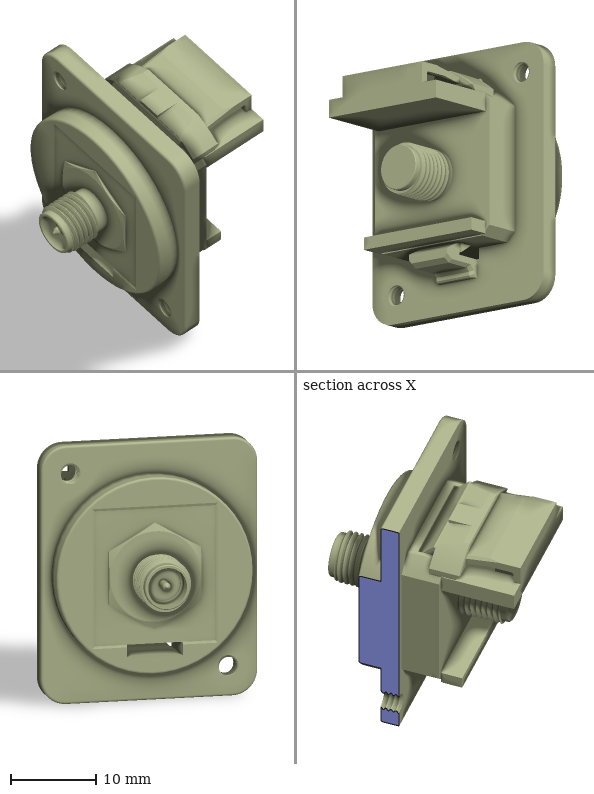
import cadquery as cq
import math


PLATE_WIDTH = 26.0
PLATE_HEIGHT = 31.0
PLATE_THICKNESS = 2.36
PLATE_CORNER_RADIUS = 3.0
FRONT_EDGE_BREAK = 0.3
DISC_RADIUS = 11.8
DISC_THICKNESS = 2.75
DISC_FRONT = -(PLATE_THICKNESS + DISC_THICKNESS)

SCREW_SPACING_X = 19.0
SCREW_SPACING_Z = 24.0
SCREW_MINOR_DIAMETER = 2.26
SCREW_MAJOR_DIAMETER = 2.845
INCH = 25.4
SCREW_THREADS_PER_INCH = 40
SCREW_PITCH = INCH / SCREW_THREADS_PER_INCH
SCREW_THREAD_GAP = 0.05
SCREW_START_ANGLE = 215

HOUSING_HALF_WIDTH = 8.67
HOUSING_DEPTH = 4.7
HOUSING_TOP = 9.82
HOUSING_BOTTOM = -8.23
HOUSING_BOTTOM_CHAMFER = 1.13

SEAT_WIDTH = 15.1
SEAT_HEIGHT = 16.8
SEAT_BEVEL_WIDTH = 0.3
SEAT_DEPTH = 0.12
SEAT_FLOOR = DISC_FRONT + SEAT_DEPTH

HEX_ACROSS_FLATS = 11.1
HEX_CHAMFER_DIAMETER = 10.85
HEX_CHAMFER_DEPTH = 0.38
HEX_FRONT = DISC_FRONT - 0.28

BARREL_DIAMETER = 5.4
BARREL_FRONT = -11.45
BARREL_BACK = 10.95
BARREL_EDGE_CHAMFER = 0.1
THREAD_DIAMETER = 6.25
BARREL_THREADS_PER_INCH = 36
THREAD_PITCH = INCH / BARREL_THREADS_PER_INCH
THREAD_CREST = 0.06
THREAD_BASE = THREAD_PITCH - 0.03
FRONT_THREAD = (-10.65, -6.9)
FRONT_THREAD_START_ANGLE = 155
REAR_THREAD = (HOUSING_DEPTH - 1.0, 10.1)
REAR_THREAD_START_ANGLE = -25
THREAD_ROOT_OVERLAP = 0.08

SOCKET_DIAMETER = 4.65
SOCKET_DEPTH = 1.95
SOCKET_STEP_DIAMETER = 4.1
SOCKET_STEP_DEPTH = 0.2
PIN_RELIEF_DIAMETER = 1.27
PIN_RELIEF_DEPTH = 0.2
PIN_DIAMETER = 0.9
PIN_TIP_LENGTH = 0.5
PIN_TIP_DIAMETER = 0.1
SOCKET_FLOOR = BARREL_FRONT + SOCKET_DEPTH + SOCKET_STEP_DEPTH

RAIL_HALF_WIDTH = 8.15
RAIL_ROOT_INSET = 0.06
RAIL_ROOT_LENGTH = 0.2
UPPER_RAIL_BACK = 13.85
UPPER_RAIL_BOTTOM = 6.62
UPPER_RAIL_TOP = 8.76
LOWER_RAIL_BACK = 7.38
LOWER_RAIL_BOTTOM = -8.1
LOWER_RAIL_TOP = -6.6

ARM_HALF_WIDTH = 6.03
ARM_TOP = 11.3
ARM_UNDERSIDE = 10.27
ARM_POST_FRONT = 13.0
ARM_INNER_RADIUS = 0.4
ARM_TOP_BEND = 9.9
ARM_UNDERSIDE_BEND = 9.75
ARM_SLOPE_DROP = 0.5
ARM_SIDE_BREAK_X = 0.38
ARM_SIDE_BREAK_Z = 0.23
ARM_SIDE_BREAK_START = 11.2
STOP_HALF_WIDTH = 5.0
STOP_FRONT = 10.3

TAB_FRONT = 3.2
TAB_BACK = 7.05
TAB_HALF_WIDTH = 8.05
TAB_BOTTOM = 9.5
TAB_TOP = 11.63
TAB_END_RADIUS = 12.48
TAB_RIB_HALF_WIDTH = 1.53
TAB_RAMP_BACK = 6.15
TAB_RAMP_DROP = 0.45
TAB_NECK_BACK = 6.5
TAB_NECK_BOTTOM = 8.6
TAB_BACK_CHAMFER_LENGTH = 0.25
TAB_BACK_CHAMFER_DEPTH = 0.1

ARM_SLOPE_END = TAB_BACK - TAB_BACK_CHAMFER_LENGTH

UPPER_CATCH_FRONT = 1.06
UPPER_CATCH_TIP = 3.0
UPPER_CATCH_TOP = 11.12
UPPER_CATCH_FOOT = UPPER_CATCH_TOP - (UPPER_CATCH_TIP - UPPER_CATCH_FRONT)

WINDOW_HALF_WIDTH = 3.2
WINDOW_FRONT_HALF_WIDTH = 3.35
WINDOW_FRONT_BOTTOM = -9.7
LATCH_HALF_WIDTH = 2.9
LATCH_ARM_TOP = -9.58
LATCH_ARM_BOTTOM = -10.75
LATCH_FOOT_BOTTOM = -11.8
LATCH_FOOT_BACK = 0.95
LATCH_BEND = 0.4
LATCH_HOOK_FRONT = 3.18
LATCH_HOOK_TIP_BACK = 3.65
LATCH_HOOK_BACK = 5.5
LATCH_HOOK_BACK_TOP = -9.15
LATCH_HOOK_BACK_BOTTOM = -10.25
LATCH_ARM_BACK = 4.7
LATCH_FOOT_CHAMFER = 0.2
LATCH_EDGE_CHAMFER = 0.4
LOWER_CATCH_FRONT = 1.5
LOWER_CATCH_TIP = -9.29


def along_y(diameter, y_front, y_back):
    """Cylinder on the coupler axis between two Y positions."""
    disc = cq.Workplane("XZ", origin=(0, y_back, 0)).circle(diameter / 2)
    return disc.extrude(y_back - y_front)


def block(x_range, y_range, z_range):
    """Box given by its limits along X, Y and Z."""
    limits = (x_range, y_range, z_range)
    sizes = [high - low for low, high in limits]
    low_corner = tuple(low for low, high in limits)
    return cq.Workplane("XY").box(*sizes, centered=False).translate(low_corner)


def side_profile(points, half_width):
    """Prism across X, centred on X = 0, from an outline of (Y, Z) points."""
    return cq.Workplane("YZ").polyline(points).close().extrude(half_width, both=True)


def helical_ridge(root_radius, crest_radius, pitch, base, y_range, start_angle=0):
    """Right-hand helical ridge around the Y axis with a trapezoidal section."""
    y_front, y_back = y_range
    path = cq.Wire.makeHelix(pitch, y_back - y_front, root_radius)
    section = (
        cq.Workplane("XZ")
        .moveTo(root_radius, -base / 2)
        .lineTo(crest_radius, -THREAD_CREST / 2)
        .lineTo(crest_radius, THREAD_CREST / 2)
        .lineTo(root_radius, base / 2)
        .close()
    )
    ridge = section.sweep(cq.Workplane(path), isFrenet=True)
    ridge = ridge.rotate((0, 0, 0), (0, 0, 1), start_angle)
    return ridge.rotate((0, 0, 0), (1, 0, 0), 90).translate((0, y_back, 0))


def make_plate():
    plate = (
        cq.Workplane("XZ")
        .rect(PLATE_WIDTH, PLATE_HEIGHT)
        .extrude(PLATE_THICKNESS)
        .edges("|Y")
        .fillet(PLATE_CORNER_RADIUS)
        .faces("<Y")
        .edges()
        .fillet(FRONT_EDGE_BREAK)
    )
    disc = along_y(2 * DISC_RADIUS, DISC_FRONT, 0)
    disc = disc.faces("<Y").edges().fillet(FRONT_EDGE_BREAK)
    return plate.union(disc)


def make_housing():
    housing = block(
        (-HOUSING_HALF_WIDTH, HOUSING_HALF_WIDTH),
        (-PLATE_THICKNESS / 2, HOUSING_DEPTH),
        (HOUSING_BOTTOM, HOUSING_TOP),
    )
    housing = housing.faces("<Z").edges("|Y").chamfer(HOUSING_BOTTOM_CHAMFER)
    return housing.intersect(along_y(2 * DISC_RADIUS, DISC_FRONT, HOUSING_DEPTH))


def make_seat_recess():
    """Shallow recess whose bevelled border runs down to the insert face."""
    front = cq.Workplane("XZ", origin=(0, DISC_FRONT, 0)).rect(SEAT_WIDTH, SEAT_HEIGHT)
    bevel_angle = math.degrees(math.atan(SEAT_BEVEL_WIDTH / SEAT_DEPTH))
    return front.extrude(-SEAT_DEPTH, taper=bevel_angle)


def make_hex_flange():
    flange = (
        cq.Workplane("XZ", origin=(0, SEAT_FLOOR, 0))
        .polygon(6, HEX_ACROSS_FLATS / math.cos(math.pi / 6))
        .extrude(SEAT_FLOOR - HEX_FRONT)
        .rotate((0, 0, 0), (0, 1, 0), 30)
    )
    corner_reach = HEX_ACROSS_FLATS / math.sqrt(3)
    chamfer_run = corner_reach - HEX_CHAMFER_DIAMETER / 2
    envelope = (
        along_y(2 * corner_reach, HEX_FRONT, SEAT_FLOOR)
        .faces("<Y")
        .edges()
        .chamfer(HEX_CHAMFER_DEPTH, chamfer_run)
    )
    return flange.intersect(envelope)


def make_barrel():
    barrel = along_y(BARREL_DIAMETER, BARREL_FRONT, BARREL_BACK)
    return barrel.faces("<Y or >Y").edges().chamfer(BARREL_EDGE_CHAMFER)


def make_barrel_thread(y_range, start_angle):
    """Barrel thread that is cut off square at both ends."""
    root_radius = BARREL_DIAMETER / 2 - THREAD_ROOT_OVERLAP
    crest_radius = THREAD_DIAMETER / 2
    y_front, y_back = y_range
    overrun = (y_front - THREAD_PITCH, y_back + THREAD_PITCH)
    ridge = helical_ridge(root_radius, crest_radius, THREAD_PITCH, THREAD_BASE, overrun, start_angle)
    return ridge.intersect(along_y(2 * THREAD_DIAMETER, y_front, y_back))


def make_socket():
    shoulder = BARREL_FRONT + SOCKET_DEPTH
    socket = along_y(SOCKET_DIAMETER, BARREL_FRONT, shoulder)
    socket = socket.union(along_y(SOCKET_STEP_DIAMETER, BARREL_FRONT, SOCKET_FLOOR))
    return socket.union(along_y(PIN_RELIEF_DIAMETER, BARREL_FRONT, SOCKET_FLOOR + PIN_RELIEF_DEPTH))


def make_pin():
    pin = along_y(PIN_DIAMETER, BARREL_FRONT, SOCKET_FLOOR + 2 * PIN_RELIEF_DEPTH)
    return pin.faces("<Y").edges().chamfer(PIN_TIP_LENGTH, (PIN_DIAMETER - PIN_TIP_DIAMETER) / 2)


def make_rail(y_back, bottom, top):
    """Flat rail behind the housing, slightly narrower at its root."""
    root_half_width = RAIL_HALF_WIDTH - RAIL_ROOT_INSET
    root_back = HOUSING_DEPTH + RAIL_ROOT_LENGTH
    root = block((-root_half_width, root_half_width), (HOUSING_DEPTH, root_back), (bottom, top))
    rail = block((-RAIL_HALF_WIDTH, RAIL_HALF_WIDTH), (root_back, y_back), (bottom, top))
    return root.union(rail)


def make_rails():
    upper = make_rail(UPPER_RAIL_BACK, UPPER_RAIL_BOTTOM, UPPER_RAIL_TOP)
    lower = make_rail(LOWER_RAIL_BACK, LOWER_RAIL_BOTTOM, LOWER_RAIL_TOP)
    return upper.union(lower)


def make_spring_arm():
    outline = (
        cq.Workplane("YZ")
        .moveTo(UPPER_RAIL_BACK, UPPER_RAIL_TOP)
        .lineTo(UPPER_RAIL_BACK, ARM_TOP)
        .lineTo(ARM_TOP_BEND, ARM_TOP)
        .lineTo(ARM_SLOPE_END, ARM_TOP - ARM_SLOPE_DROP)
        .lineTo(ARM_SLOPE_END, ARM_UNDERSIDE - ARM_SLOPE_DROP)
        .lineTo(ARM_UNDERSIDE_BEND, ARM_UNDERSIDE)
        .lineTo(ARM_POST_FRONT - ARM_INNER_RADIUS, ARM_UNDERSIDE)
        .radiusArc((ARM_POST_FRONT, ARM_UNDERSIDE - ARM_INNER_RADIUS), ARM_INNER_RADIUS)
        .lineTo(ARM_POST_FRONT, UPPER_RAIL_TOP)
        .close()
    )
    arm = outline.extrude(ARM_HALF_WIDTH, both=True)
    for side in (-1, 1):
        arm = arm.cut(make_arm_side_break(side))
    stop = block(
        (-STOP_HALF_WIDTH, STOP_HALF_WIDTH),
        (STOP_FRONT, ARM_POST_FRONT),
        (UPPER_RAIL_TOP, ARM_UNDERSIDE),
    )
    return arm.union(stop)


def solid_from_polygons(polygons):
    """Closed solid bounded by flat polygons, each a list of corner points."""
    wires = [cq.Wire.makePolygon([cq.Vector(*point) for point in points], close=True) for points in polygons]
    faces = [cq.Face.makeFromWires(wire) for wire in wires]
    return cq.Workplane(cq.Solid.makeSolid(cq.Shell.makeShell(faces)))


def make_arm_side_break(side):
    """Wedge along one top edge of the arm, following its slope and fading out to the back."""
    outer_x = side * ARM_HALF_WIDTH
    inner_x = side * (ARM_HALF_WIDTH - ARM_SIDE_BREAK_X)

    def section(y, top):
        return [(inner_x, y, top), (outer_x, y, top - ARM_SIDE_BREAK_Z), (outer_x, y, top)]

    front = section(ARM_SLOPE_END, ARM_TOP - ARM_SLOPE_DROP)
    bend = section(ARM_TOP_BEND, ARM_TOP)
    tip = (outer_x, ARM_SIDE_BREAK_START, ARM_TOP)
    section_edges = [(0, 1), (1, 2), (2, 0)]
    prism_sides = [[front[a], front[b], bend[b], bend[a]] for a, b in section_edges]
    fade_sides = [[bend[a], bend[b], tip] for a, b in section_edges]
    prism = solid_from_polygons([front, bend] + prism_sides)
    return prism.union(solid_from_polygons([bend] + fade_sides))


def make_finger_tab():
    tab = block(
        (-TAB_HALF_WIDTH, TAB_HALF_WIDTH),
        (TAB_FRONT, TAB_BACK),
        (TAB_BOTTOM, TAB_TOP),
    )
    tab = tab.intersect(along_y(2 * TAB_END_RADIUS, TAB_FRONT, TAB_BACK))
    top_edges = tab.faces(">Y").edges("not(<Z or |Z)")
    tab = top_edges.chamfer(TAB_BACK_CHAMFER_LENGTH, TAB_BACK_CHAMFER_DEPTH)
    ramp_outline = [
        (TAB_RAMP_BACK, TAB_TOP),
        (TAB_FRONT, TAB_TOP),
        (TAB_FRONT, TAB_TOP - TAB_RAMP_DROP),
    ]
    rib = block(
        (-TAB_RIB_HALF_WIDTH, TAB_RIB_HALF_WIDTH),
        (TAB_FRONT, TAB_BACK),
        (TAB_BOTTOM, TAB_TOP),
    )
    ramps = side_profile(ramp_outline, TAB_HALF_WIDTH).cut(rib)
    neck_outline = [
        (TAB_FRONT, TAB_BOTTOM),
        (TAB_BACK, TAB_BOTTOM),
        (TAB_NECK_BACK, UPPER_RAIL_TOP),
        (HOUSING_DEPTH, UPPER_RAIL_TOP),
        (HOUSING_DEPTH, TAB_NECK_BOTTOM),
        (TAB_FRONT, TAB_NECK_BOTTOM),
    ]
    return tab.cut(ramps).union(side_profile(neck_outline, TAB_HALF_WIDTH))


def make_upper_catch():
    outline = [
        (UPPER_CATCH_FRONT, UPPER_CATCH_FOOT),
        (UPPER_CATCH_TIP, UPPER_CATCH_TOP),
        (TAB_FRONT, UPPER_CATCH_TOP),
        (TAB_FRONT, UPPER_CATCH_FOOT),
    ]
    return side_profile(outline, ARM_HALF_WIDTH)


def make_upper_catch_slot():
    """Opening in the housing top in front of the catch ramp."""
    return block(
        (-ARM_HALF_WIDTH, ARM_HALF_WIDTH),
        (UPPER_CATCH_FRONT, TAB_FRONT),
        (UPPER_CATCH_FOOT, HOUSING_TOP),
    )


def make_latch_window():
    """Opening through disc and plate below the insert, narrowing slightly towards the back."""
    insert_bottom = -(SEAT_HEIGHT / 2 - SEAT_BEVEL_WIDTH)
    outline = [
        (-WINDOW_FRONT_HALF_WIDTH, DISC_FRONT),
        (WINDOW_FRONT_HALF_WIDTH, DISC_FRONT),
        (WINDOW_HALF_WIDTH, 0),
        (-WINDOW_HALF_WIDTH, 0),
    ]
    depth = insert_bottom - WINDOW_FRONT_BOTTOM
    window = cq.Workplane("XY", origin=(0, 0, WINDOW_FRONT_BOTTOM)).polyline(outline).close()
    return window.extrude(depth)


def make_latch():
    outline = [
        (-PLATE_THICKNESS / 2, WINDOW_FRONT_BOTTOM),
        (0, LATCH_ARM_TOP),
        (LATCH_HOOK_FRONT, LATCH_ARM_TOP),
        (LATCH_HOOK_FRONT, HOUSING_BOTTOM),
        (LATCH_HOOK_TIP_BACK, HOUSING_BOTTOM),
        (LATCH_HOOK_BACK, LATCH_HOOK_BACK_TOP),
        (LATCH_HOOK_BACK, LATCH_HOOK_BACK_BOTTOM),
        (LATCH_ARM_BACK, LATCH_ARM_BOTTOM),
        (LATCH_FOOT_BACK + LATCH_BEND, LATCH_ARM_BOTTOM),
        (LATCH_FOOT_BACK, LATCH_ARM_BOTTOM - LATCH_BEND),
        (LATCH_FOOT_BACK, LATCH_FOOT_BOTTOM + LATCH_FOOT_CHAMFER),
        (LATCH_FOOT_BACK - LATCH_FOOT_CHAMFER, LATCH_FOOT_BOTTOM),
        (-PLATE_THICKNESS / 2, LATCH_FOOT_BOTTOM),
    ]
    latch = side_profile(outline, LATCH_HALF_WIDTH)
    underside = cq.selectors.BoxSelector(
        (-2 * LATCH_HALF_WIDTH, 0, 2 * LATCH_FOOT_BOTTOM),
        (2 * LATCH_HALF_WIDTH, 2 * LATCH_HOOK_BACK, LATCH_ARM_BOTTOM + LATCH_EDGE_CHAMFER),
    )
    return latch.edges("not |X").edges(underside).chamfer(LATCH_EDGE_CHAMFER)


def make_lower_catch():
    outline = [
        (LOWER_CATCH_FRONT, HOUSING_BOTTOM),
        (LATCH_HOOK_FRONT, LOWER_CATCH_TIP),
        (LATCH_HOOK_FRONT, HOUSING_BOTTOM),
    ]
    return side_profile(outline, WINDOW_HALF_WIDTH)


def make_screw_hole_cutters():
    """Cutters for a threaded hole on the Y axis: helical groove, then the minor bore."""
    bore = along_y(SCREW_MINOR_DIAMETER, -PLATE_THICKNESS, 0)
    groove = helical_ridge(
        SCREW_MINOR_DIAMETER / 2 - THREAD_ROOT_OVERLAP,
        SCREW_MAJOR_DIAMETER / 2,
        SCREW_PITCH,
        SCREW_PITCH - SCREW_THREAD_GAP,
        (-PLATE_THICKNESS - SCREW_PITCH, SCREW_PITCH),
        SCREW_START_ANGLE,
    )
    return groove, bore


result = make_plate().union(make_housing())
result = result.cut(make_seat_recess()).cut(make_latch_window())
result = result.cut(make_upper_catch_slot()).union(make_upper_catch())
result = result.union(make_rails()).union(make_spring_arm()).union(make_finger_tab())
result = result.union(make_latch()).union(make_lower_catch())

for side in (-1, 1):
    location = (side * SCREW_SPACING_X / 2, 0, -side * SCREW_SPACING_Z / 2)
    for cutter in make_screw_hole_cutters():
        result = result.cut(cutter.translate(location))

coupler = make_barrel()
coupler = coupler.union(make_barrel_thread(FRONT_THREAD, FRONT_THREAD_START_ANGLE))
coupler = coupler.union(make_barrel_thread(REAR_THREAD, REAR_THREAD_START_ANGLE))
coupler = coupler.cut(make_socket()).union(make_pin()).union(make_hex_flange())
result = result.union(coupler)